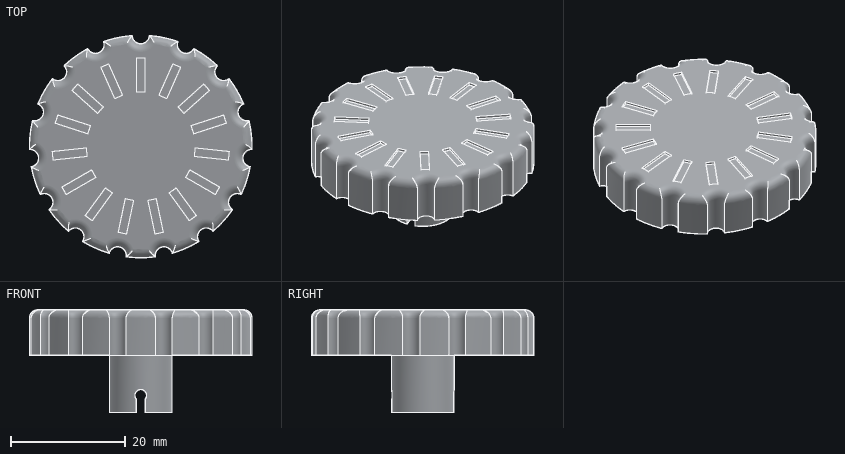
import cadquery as cq

HEAD_RADIUS = 19.5
HEAD_HEIGHT = 8.0
TOP_FILLET = 1.5

GRIP_COUNT = 15
GRIP_RADIUS = 1.5
FIRST_GRIP_ANGLE = 90.0

MARKER_WIDTH = 1.5
MARKER_LENGTH = 6.0
MARKER_OUTER_RADIUS = 15.5
MARKER_DEPTH = 0.5

STEM_DIAMETER = 11.0
STEM_LENGTH = 10.0
KEYHOLE_WIDTH = 1.5
KEYHOLE_DIAMETER = 2.0
KEYHOLE_CENTER_HEIGHT = 3.0

STEM_END_Z = -STEM_LENGTH


def make_grip_cutter():
    """Upright cylinder at the origin, flared at the top to round the grip's upper edge."""
    flare_start_z = HEAD_HEIGHT - TOP_FILLET
    flare_radius = GRIP_RADIUS + TOP_FILLET
    return (
        cq.Workplane("XZ")
        .lineTo(GRIP_RADIUS, 0)
        .lineTo(GRIP_RADIUS, flare_start_z)
        .radiusArc((flare_radius, HEAD_HEIGHT), TOP_FILLET)
        .lineTo(0, HEAD_HEIGHT)
        .close()
        .revolve(360, (0, 0, 0), (0, 1, 0))
    )


def make_head():
    """Round head with a rounded top edge, scalloped by the grips."""
    disc = cq.Workplane("XY").circle(HEAD_RADIUS).extrude(HEAD_HEIGHT)
    disc = disc.faces(">Z").edges().fillet(TOP_FILLET)
    cutter = make_grip_cutter().val()
    grips = (
        cq.Workplane("XY")
        .polarArray(HEAD_RADIUS, FIRST_GRIP_ANGLE, 360, GRIP_COUNT)
        .eachpoint(lambda location: cutter.located(location), combine=False)
    )
    return disc.cut(grips)


def make_markers():
    """Radial rectangular pockets sunk into the top face, one per grip."""
    return (
        cq.Workplane("XY")
        .workplane(offset=HEAD_HEIGHT - MARKER_DEPTH)
        .polarArray(MARKER_OUTER_RADIUS - MARKER_LENGTH / 2, FIRST_GRIP_ANGLE, 360, GRIP_COUNT)
        .rect(MARKER_LENGTH, MARKER_WIDTH)
        .extrude(MARKER_DEPTH)
    )


def make_stem():
    """Plain cylinder hanging from the underside of the head."""
    return cq.Workplane("XY").circle(STEM_DIAMETER / 2).extrude(STEM_END_Z)


def make_keyhole():
    """Straight slot ending in a round relief, running through the stem along Y."""
    relief_z = STEM_END_Z + KEYHOLE_CENTER_HEIGHT
    slot = (
        cq.Workplane("XZ")
        .center(0, (STEM_END_Z + relief_z) / 2)
        .rect(KEYHOLE_WIDTH, KEYHOLE_CENTER_HEIGHT)
        .extrude(STEM_DIAMETER / 2, both=True)
    )
    relief = (
        cq.Workplane("XZ")
        .center(0, relief_z)
        .circle(KEYHOLE_DIAMETER / 2)
        .extrude(STEM_DIAMETER / 2, both=True)
    )
    return slot.union(relief)


head = make_head().cut(make_markers())
stem = make_stem().cut(make_keyhole())
result = head.union(stem)